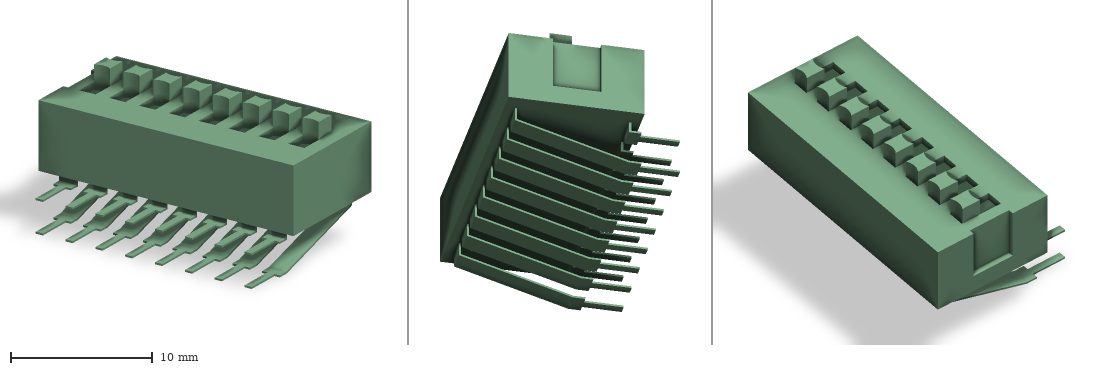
import cadquery as cq
import math


body_length = 21.68
body_width = 9.85
body_height = 5.4
front_y = -body_width / 2
back_y = body_width / 2

switch_count = 8
pitch = 2.54
array_offset = 0.09
switch_x = [array_offset + (i - (switch_count - 1) / 2) * pitch for i in range(switch_count)]

slot_y = -0.05
slot_width = 1.4
slot_length = 3.51
slot_depth = 0.63

recess_depth = 0.43
recess_height = 3.99

slider_width = 1.37
slider_length = 1.6
slider_rise = 1.35
slider_gap = 0.07
slider_hollow = 0.2

lead_thickness = 0.15
lead_width = 1.5
tip_width = 0.6
tip_reach = 2.95
shoulder_reach = 0.07
front_lead_inset = 0.67
front_lead_drop = 0.82
back_lead_inset = 0.75
back_lead_knee_drop = 1.02
back_lead_drop = 3.38

shoulder_y = front_y - shoulder_reach
tip_y = front_y - tip_reach
front_lead_y = front_y + front_lead_inset
back_lead_y = back_y - back_lead_inset


def make_housing():
    """Block with a row of slider slots and the end recess."""
    housing = cq.Workplane("XY").box(body_length, body_width, body_height, centered=(True, True, False))
    slots = (
        cq.Workplane("XY", origin=(0, 0, body_height - slot_depth))
        .pushPoints([(x, slot_y) for x in switch_x])
        .rect(slot_width, slot_length)
        .extrude(slot_depth)
    )
    recess = cq.Workplane("XY", origin=(-body_length / 2, slot_y, body_height - recess_height)).box(
        recess_depth, slot_length, recess_height, centered=(False, True, False)
    )
    return housing.cut(slots).cut(recess)


def make_slider(x):
    """Upright slider standing on the slot floor, with hollow front and back faces."""
    left = x - slider_width / 2
    right = x + slider_width / 2
    back = slot_y + slot_length / 2 - slider_gap
    front = back - slider_length
    return (
        cq.Workplane("XY", origin=(0, 0, body_height - slot_depth))
        .moveTo(left, front)
        .threePointArc((x, front + slider_hollow), (right, front))
        .lineTo(right, back)
        .threePointArc((x, back - slider_hollow), (left, back))
        .close()
        .extrude(slot_depth + slider_rise)
    )


def extrude_across(profile_points, x, width):
    """Extrude a (Y, Z) outline to the given width, centred on x."""
    profile = cq.Workplane("YZ", origin=(x, 0, 0)).polyline(profile_points).close()
    return profile.extrude(width / 2, both=True)


def make_tip(x, bottom_z):
    """Narrow flat end of a lead."""
    top_z = bottom_z + lead_thickness
    outline = [(shoulder_y, bottom_z), (tip_y, bottom_z), (tip_y, top_z), (shoulder_y, top_z)]
    return extrude_across(outline, x, tip_width)


def make_front_lead(x):
    """Lead that drops from the housing and bends square toward -Y."""
    bottom_z = -front_lead_drop
    top_z = bottom_z + lead_thickness
    outline = [
        (front_lead_y, 0),
        (front_lead_y, top_z),
        (shoulder_y, top_z),
        (shoulder_y, bottom_z),
        (front_lead_y + lead_thickness, bottom_z),
        (front_lead_y + lead_thickness, 0),
    ]
    return extrude_across(outline, x, lead_width).union(make_tip(x, bottom_z))


def make_back_lead(x):
    """Lead that drops, slopes under the housing and levels out below the front lead."""
    bottom_z = -back_lead_drop
    top_z = bottom_z + lead_thickness
    inner_y = back_lead_y - lead_thickness
    knee_z = -back_lead_knee_drop
    level_y = front_lead_y + lead_thickness

    slope = (knee_z - bottom_z) / (back_lead_y - level_y)
    slope_rise = lead_thickness * math.hypot(1, slope)
    upper_level_y = level_y - (slope_rise - lead_thickness) / slope
    upper_knee_z = knee_z + slope_rise - slope * lead_thickness
    outline = [
        (back_lead_y, 0),
        (back_lead_y, knee_z),
        (level_y, bottom_z),
        (shoulder_y, bottom_z),
        (shoulder_y, top_z),
        (upper_level_y, top_z),
        (inner_y, upper_knee_z),
        (inner_y, 0),
    ]
    return extrude_across(outline, x, lead_width).union(make_tip(x, bottom_z))


result = make_housing()
for x in switch_x:
    result = result.union(make_slider(x))
    result = result.union(make_front_lead(x))
    result = result.union(make_back_lead(x))